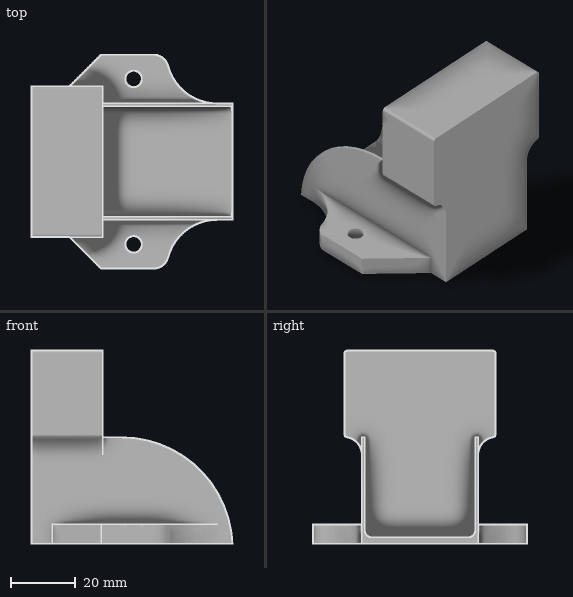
import cadquery as cq
import math

body_length = 62.0
body_width = 36.0
body_height = 32.9
nose_start = 27.65

head_length = 22.0
head_width = 46.6
total_height = 59.6
head_edge_radius = 1.0

wall_thickness = 1.0
floor_height = 2.0
channel_fillet = 2.2

ear_span = 66.0
ear_thickness = 6.0
ear_start = 6.5
ear_scoop_radius = 15.45
ear_corner_radius = 4.75
ear_end = 57.1
hole_diameter = 5.0
hole_x = 31.5

nose_run = body_length - nose_start
nose_radius = (nose_run**2 + body_height**2) / (2 * body_height)


def make_body():
    """Long block with a rounded nose, extruded across Y."""
    mid_angle = math.asin(nose_run / nose_radius) / 2
    nose_mid = (
        nose_start + nose_radius * math.sin(mid_angle),
        body_height - nose_radius * (1 - math.cos(mid_angle)),
    )
    return (
        cq.Workplane("XZ")
        .lineTo(body_length, 0)
        .threePointArc(nose_mid, (nose_start, body_height))
        .lineTo(0, body_height)
        .close()
        .extrude(body_width / 2, both=True)
    )


def make_channel():
    """Cutter for the channel, with rounded corners along its floor."""
    return (
        cq.Workplane("XY")
        .box(
            body_length - head_length,
            body_width - 2 * wall_thickness,
            body_height,
            centered=(False, True, False),
        )
        .edges("|X and <Z")
        .fillet(channel_fillet)
        .translate((head_length, 0, floor_height))
    )


def make_head():
    """Upright with a wider head that overhangs on concave quarter rounds."""
    neck = body_width / 2
    edge = head_width / 2
    cove = edge - neck
    cove_start = body_height - cove
    cove_mid = (edge - cove * math.cos(math.pi / 4), cove_start + cove * math.sin(math.pi / 4))
    return (
        cq.Workplane("YZ")
        .moveTo(-neck, 0)
        .lineTo(neck, 0)
        .lineTo(neck, cove_start)
        .threePointArc(cove_mid, (edge, body_height))
        .lineTo(edge, total_height)
        .lineTo(-edge, total_height)
        .lineTo(-edge, body_height)
        .threePointArc((-cove_mid[0], cove_mid[1]), (-neck, cove_start))
        .close()
        .extrude(head_length)
        .edges("|X and (<Y or >Y)")
        .fillet(head_edge_radius)
    )


def make_ear():
    """Ear on the +Y side: 45 degree front, scooped back and a screw hole."""
    inner = body_width / 2
    outer = ear_span / 2
    reach = outer - inner
    scoop_center_y = inner + ear_scoop_radius
    tip_rise = outer - scoop_center_y
    tip_x = ear_end - math.sqrt(ear_scoop_radius**2 - tip_rise**2)
    scoop_mid = (
        ear_end - ear_scoop_radius * math.sin(math.pi / 4),
        scoop_center_y - ear_scoop_radius * math.cos(math.pi / 4),
    )
    return (
        cq.Workplane("XY")
        .moveTo(ear_start, 0)
        .lineTo(ear_start, inner)
        .lineTo(ear_start + reach, outer)
        .lineTo(tip_x, outer)
        .threePointArc(scoop_mid, (ear_end, inner))
        .lineTo(ear_end, 0)
        .close()
        .extrude(ear_thickness)
        .edges(cq.selectors.NearestToPointSelector((tip_x, outer, ear_thickness / 2)))
        .fillet(ear_corner_radius)
        .cut(
            cq.Workplane("XY")
            .center(hole_x, inner + reach / 2)
            .circle(hole_diameter / 2)
            .extrude(ear_thickness)
        )
    )


ear = make_ear()
result = make_body().union(ear).union(ear.mirror("XZ")).cut(make_channel()).union(make_head())